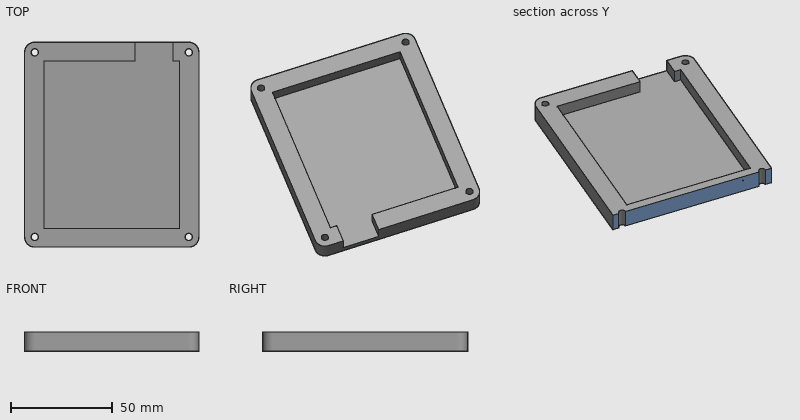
import cadquery as cq

width = 86.0
length = 101.0
height = 9.6
corner_radius = 5.0

hole_diameter = 3.4
hole_spacing_x = width - 2 * corner_radius
hole_spacing_y = length - 2 * corner_radius

side_wall = 9.5
end_wall = 9.3
floor_thickness = 3.0
pocket_depth = height - floor_thickness
pocket_width = width - 2 * side_wall
pocket_length = length - 2 * end_wall

gap_width = 18.6
gap_left_offset = 54.5
gap_center_x = -width / 2 + gap_left_offset + gap_width / 2


def make_body():
    body = cq.Workplane("XY").box(width, length, height, centered=(True, True, False))
    return body.edges("|Z").fillet(corner_radius)


def make_pocket():
    floor = cq.Workplane("XY").workplane(offset=floor_thickness)
    return floor.rect(pocket_width, pocket_length).extrude(pocket_depth)


def make_gap():
    """Cutter running from the middle of the pocket out through the +Y side."""
    floor = cq.Workplane("XY").workplane(offset=floor_thickness)
    return floor.center(gap_center_x, length / 4).rect(gap_width, length / 2).extrude(pocket_depth)


def make_screw_holes():
    corners = cq.Workplane("XY").rect(hole_spacing_x, hole_spacing_y, forConstruction=True)
    return corners.vertices().circle(hole_diameter / 2).extrude(height)


result = make_body().cut(make_pocket()).cut(make_gap()).cut(make_screw_holes())